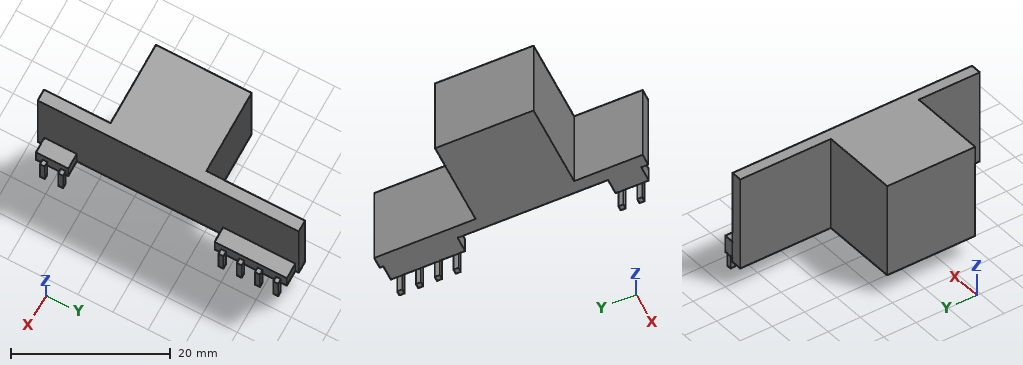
import cadquery as cq

board_length = 37.2
board_thickness = 1.67
board_height = 14.15

block_depth = 11.98
block_width = 13.65
block_start = 9.5

header_depth = 2.25
header_height = 2.55
long_header_start = 26.4
long_header_length = 10.3
long_header_pins = 4
short_header_start = 0.95
short_header_length = 4.6
short_header_pins = 2

pin_size = 0.7
pin_pitch = 2.6
pin_margin = 0.93
pin_top = 1.23
pin_drop = 3.05

board_outer_x = block_depth + board_thickness
header_outer_x = board_outer_x + header_depth


def box_at(x, y, z, size_x, size_y, size_z):
    """Box whose lowest corner is at (x, y, z)."""
    return cq.Workplane("XY").box(size_x, size_y, size_z, centered=False).translate((x, y, z))


def pin_header(start, length, pin_count):
    """Header body with a row of downward pins, set in from its low-Y end."""
    header = box_at(board_outer_x, start, 0, header_depth, length, header_height)
    first_pin = start + pin_margin
    for index in range(pin_count):
        pin_y = first_pin + index * pin_pitch
        pin = box_at(header_outer_x, pin_y, -pin_drop, pin_size, pin_size, pin_top + pin_drop)
        header = header.union(pin)
    return header


board = box_at(block_depth, 0, 0, board_thickness, board_length, board_height)
block = box_at(0, block_start, 0, block_depth, block_width, board_height)
long_header = pin_header(long_header_start, long_header_length, long_header_pins)
short_header = pin_header(short_header_start, short_header_length, short_header_pins)

result = board.union(block).union(long_header).union(short_header)